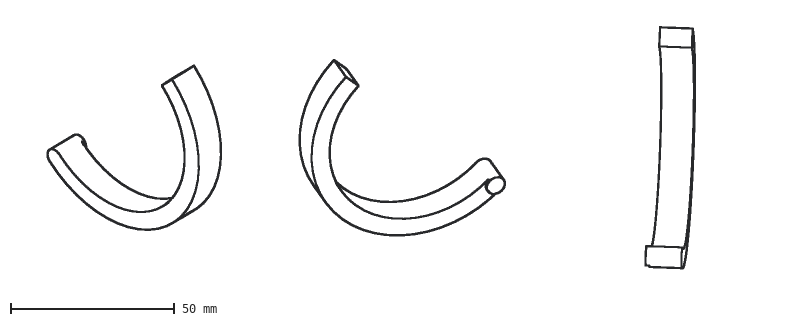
import cadquery as cq
import math

outer_radius = 37.0
bar_thickness = 6.0
bar_width = 10.0
square_end_angle = 46.1
rounded_end_angle = -133.1

pin_length = 11.0

inner_radius = outer_radius - bar_thickness
middle_radius = outer_radius - bar_thickness / 2
pin_radius = bar_thickness / 2
middle_angle = (square_end_angle + rounded_end_angle) / 2


def polar(radius, angle):
    """Point in the XZ plane at an angle in degrees from +X towards +Z."""
    radians = math.radians(angle)
    return radius * math.cos(radians), radius * math.sin(radians)


def extrude_back(profile, length):
    """Extrude an XZ profile from Y = 0 towards +Y."""
    return profile.extrude(-length)


def curved_bar():
    profile = (
        cq.Workplane("XZ")
        .moveTo(*polar(outer_radius, square_end_angle))
        .threePointArc(polar(outer_radius, middle_angle), polar(outer_radius, rounded_end_angle))
        .lineTo(*polar(inner_radius, rounded_end_angle))
        .threePointArc(polar(inner_radius, middle_angle), polar(inner_radius, square_end_angle))
        .close()
    )
    return extrude_back(profile, bar_width)


def end_pin():
    profile = (
        cq.Workplane("XZ")
        .center(*polar(middle_radius, rounded_end_angle))
        .circle(pin_radius)
    )
    return extrude_back(profile, pin_length)


result = curved_bar().union(end_pin())